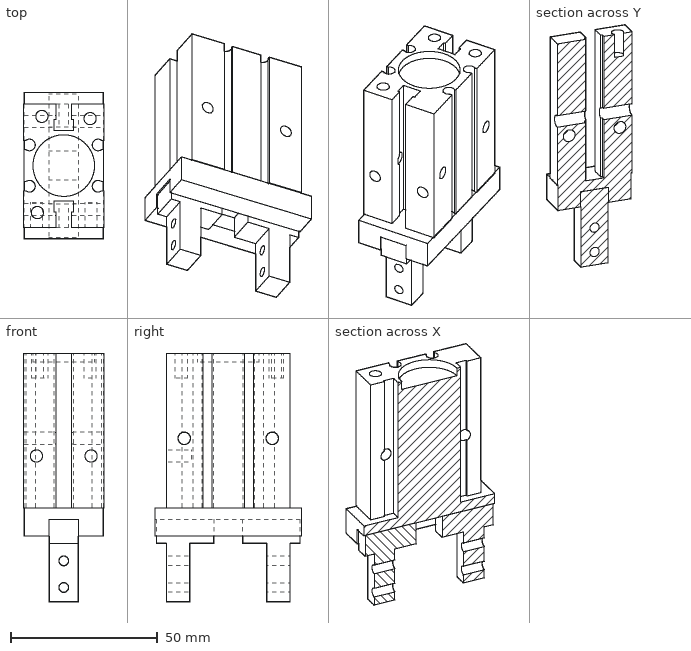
import cadquery as cq

TOTAL_HEIGHT = 84.8

BODY_WIDTH = 27.6
BODY_LENGTH = 42.15
FLANGE_WIDTH = 27.0
FLANGE_LENGTH = 50.0
FLANGE_BOTTOM = 22.5
FLANGE_TOP = 32.05
BODY_HEIGHT = TOTAL_HEIGHT - FLANGE_TOP

POCKET_DIAMETER = 21.0
POCKET_DEPTH = 3.0

SLOT_NECK_WIDTH = 5.3
SLOT_NECK_DEPTH = 5.3
SLOT_INNER_WIDTH = 6.6
SLOT_DEPTH = 9.1

STEP_WIDTH = 27.1
GROOVE_DIAMETER = 4.0
GROOVE_MOUTH = 3.1
GROOVE_X = 11.7
GROOVE_Y = 7.0

SIDE_HOLE_DIAMETER = 4.15
SIDE_HOLE_Y = 15.0
SIDE_HOLE_Z = 55.8
BLIND_HOLE_DIAMETER = 4.15
BLIND_HOLE_DEPTH = 8.5
END_HOLE_X = 9.3
END_HOLE_Z = 49.8
TOP_HOLE_CENTERS = [(-7.5, 16.8), (9.0, 16.0), (-9.0, -16.0)]

JAW_WIDTH = 10.0
SLIDER_TOP = 28.1
SLIDER_BOTTOM = 19.9
SLIDER_INNER_Y = 4.9
SLIDER_OUTER_Y = 24.5
FINGER_OUTER_Y = BODY_LENGTH / 2
FINGER_THICKNESS = 8.0
FINGER_HOLE_DIAMETER = 3.2
FINGER_HOLE_HEIGHTS = [4.9, 14.0]


def box_between(x_range, y_range, z_range):
    """Axis-aligned box given by its limits along X, Y and Z."""
    (x0, x1), (y0, y1), (z0, z1) = x_range, y_range, z_range
    block = cq.Workplane("XY").box(x1 - x0, y1 - y0, z1 - z0, centered=False)
    return block.translate((x0, y0, z0))


def centered(size):
    """Limits of a length centred on zero."""
    return (-size / 2, size / 2)


def end_slot():
    """Cutter for the undercut slot in the -Y end face."""
    end_y = -BODY_LENGTH / 2
    z_range = (FLANGE_TOP, TOTAL_HEIGHT)
    neck = box_between(centered(SLOT_NECK_WIDTH), (end_y, end_y + SLOT_DEPTH), z_range)
    inner = box_between(
        centered(SLOT_INNER_WIDTH), (end_y + SLOT_NECK_DEPTH, end_y + SLOT_DEPTH), z_range
    )
    return neck.union(inner)


def side_grooves():
    """Cutter for the two grooves in the +X face and the shallow step between them."""
    base = cq.Workplane("XY").workplane(offset=FLANGE_TOP)
    cutter = box_between(
        (STEP_WIDTH / 2, BODY_WIDTH / 2), centered(2 * GROOVE_Y), (FLANGE_TOP, TOTAL_HEIGHT)
    )
    for groove_y in (-GROOVE_Y, GROOVE_Y):
        channel = base.center(GROOVE_X, groove_y).circle(GROOVE_DIAMETER / 2).extrude(BODY_HEIGHT)
        mouth = box_between(
            (GROOVE_X, BODY_WIDTH / 2),
            (groove_y - GROOVE_MOUTH / 2, groove_y + GROOVE_MOUTH / 2),
            (FLANGE_TOP, TOTAL_HEIGHT),
        )
        cutter = cutter.union(channel).union(mouth)
    return cutter


def side_holes():
    """Cutter for the cross holes that pass through the block along X."""
    return (
        cq.Workplane("YZ", origin=(-BODY_WIDTH / 2, 0, 0))
        .pushPoints([(-SIDE_HOLE_Y, SIDE_HOLE_Z), (SIDE_HOLE_Y, SIDE_HOLE_Z)])
        .circle(SIDE_HOLE_DIAMETER / 2)
        .extrude(BODY_WIDTH)
    )


def end_holes():
    """Cutter for the blind holes in the -Y end face."""
    return (
        cq.Workplane("XZ", origin=(0, -BODY_LENGTH / 2, 0))
        .pushPoints([(-END_HOLE_X, END_HOLE_Z), (END_HOLE_X, END_HOLE_Z)])
        .circle(BLIND_HOLE_DIAMETER / 2)
        .extrude(-BLIND_HOLE_DEPTH)
    )


def top_holes():
    """Cutter for the blind holes in the top face."""
    return (
        cq.Workplane("XY", origin=(0, 0, TOTAL_HEIGHT))
        .pushPoints(TOP_HOLE_CENTERS)
        .circle(BLIND_HOLE_DIAMETER / 2)
        .extrude(-BLIND_HOLE_DEPTH)
    )


def top_pocket():
    """Cutter for the shallow round pocket in the top face."""
    return (
        cq.Workplane("XY", origin=(0, 0, TOTAL_HEIGHT))
        .circle(POCKET_DIAMETER / 2)
        .extrude(-POCKET_DEPTH)
    )


def make_housing():
    """Block and flange in one piece, with the jaw channel along the underside."""
    block = box_between(centered(BODY_WIDTH), centered(BODY_LENGTH), (FLANGE_TOP, TOTAL_HEIGHT))
    flange = box_between(
        centered(FLANGE_WIDTH), centered(FLANGE_LENGTH), (FLANGE_BOTTOM, FLANGE_TOP)
    )
    jaw_channel = box_between(
        centered(JAW_WIDTH), centered(FLANGE_LENGTH), (FLANGE_BOTTOM, SLIDER_TOP)
    )
    slot = end_slot()
    grooves = side_grooves()
    for cutter in (
        slot,
        slot.mirror("XZ"),
        grooves,
        grooves.mirror("YZ"),
        side_holes(),
        end_holes(),
        top_holes(),
        top_pocket(),
    ):
        block = block.cut(cutter)
    return block.union(flange.cut(jaw_channel))


def make_jaw():
    """Jaw on the +Y side: slider, finger and the two holes through the finger."""
    slider = box_between(
        centered(JAW_WIDTH), (SLIDER_INNER_Y, SLIDER_OUTER_Y), (SLIDER_BOTTOM, SLIDER_TOP)
    )
    finger = box_between(
        centered(JAW_WIDTH), (FINGER_OUTER_Y - FINGER_THICKNESS, FINGER_OUTER_Y), (0, SLIDER_BOTTOM)
    )
    holes = (
        cq.Workplane("XZ", origin=(0, FINGER_OUTER_Y, 0))
        .pushPoints([(0, height) for height in FINGER_HOLE_HEIGHTS])
        .circle(FINGER_HOLE_DIAMETER / 2)
        .extrude(FINGER_THICKNESS)
    )
    return slider.union(finger).cut(holes)


housing = make_housing()
jaws = [make_jaw().rotate((0, 0, 0), (0, 0, 1), angle) for angle in (0, 180)]

result = cq.Compound.makeCompound([housing.val(), *[jaw.val() for jaw in jaws]])